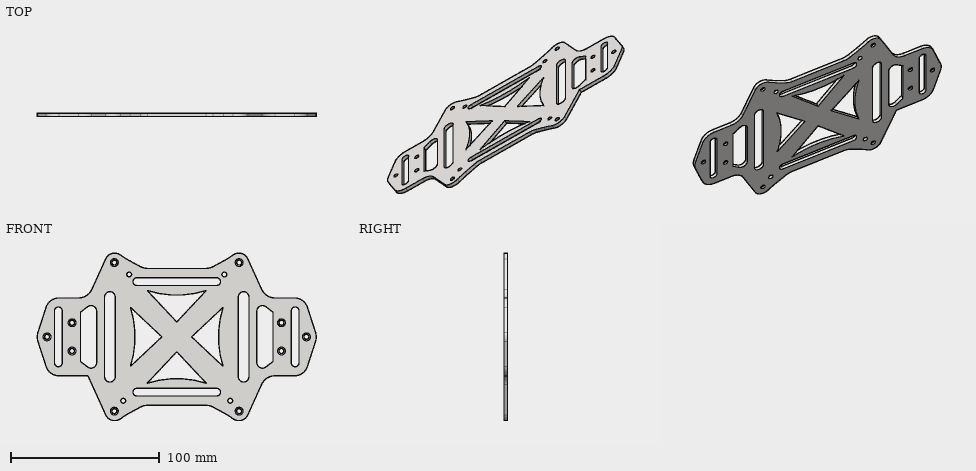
import cadquery as cq
import math

LENGTH = 187.98
HEIGHT = 112.92
THICKNESS = 2.5

TIP_X = 41.8
TIP_RADIUS = 6.7
TIP_Z = HEIGHT / 2 - TIP_RADIUS
FLARE_RADIUS = 58.0
FLARE_ANGLE = math.radians(36)
NOSE_RADIUS = 10.0
NOSE_X = LENGTH / 2 - NOSE_RADIUS
TAB_HALF_HEIGHT = 26.3
SHOULDER_X = 79.2
SHOULDER_RADIUS = 9.3
NECK_X = 66.0
NECK_RADIUS = 9.6
SHARP_NECK_X = 59.8
WAIST_X = 19.7
WAIST_HALF_HEIGHT = 46.15
WAIST_RADIUS = 10.0

MAIN_SLOT_X = 45.0
MAIN_SLOT_LENGTH = 60.7
MAIN_SLOT_WIDTH = 7.0
OUTER_SLOT_X = 79.7
OUTER_SLOT_LENGTH = 40.1
EDGE_SLOT_Z = 37.2
EDGE_SLOT_LENGTH = 58.8
NARROW_SLOT_WIDTH = 5.0
UPRIGHT = 90

WINDOW_INNER_X = 54.0
WINDOW_OUTER_X = 64.75
WINDOW_INNER_HALF_HEIGHT = 21.0
WINDOW_OUTER_HALF_HEIGHT = 16.55
WINDOW_RADIUS = 3.7

CUTOUT_APEX = 10.1
CUTOUT_ARC = 28.0
CUTOUT_FAR = 31.1
CUTOUT_HALF_WIDTH = 19.75
CUTOUT_COUNT = 4

SCREW_DIAMETER = 3.2
COUNTERSINK_DIAMETER = 5.3
COUNTERSINK_ANGLE = 90.0
NOSE_SCREW_X = 87.3
CORNER_SCREW_X = 42.0
CORNER_SCREW_Z = 50.0
PAIR_X = 70.5
PAIR_Z = 9.5
PLAIN_DIAMETER = 3.1
UPPER_PLAIN = (32.0, 42.0)
LOWER_PLAIN = (36.0, -43.0)

TOUCHING_GAP = 0.01
SIDES = (-1, 1)


def front_plane():
    """XZ sketch plane on the front face; a negative extrusion goes into the plate."""
    return cq.Workplane("XZ")


def through_plate(sketch):
    """Extrude a front-face outline over the full thickness."""
    return sketch.extrude(-THICKNESS)


def tangent_normal(first, second):
    """Outward unit normal of the tangent joining two (x, z, signed radius) circles, counter-clockwise."""
    dx = second[0] - first[0]
    dz = second[1] - first[1]
    length = math.hypot(dx, dz)
    along = min(1, (first[2] - second[2]) / length)
    across = math.sqrt(1 - along**2)
    return (
        (along * dx + across * dz) / length,
        (along * dz - across * dx) / length,
    )


def belt(circles):
    """Closed outline round circles taken counter-clockwise.

    A positive radius is a convex rounding, a negative one a concave rounding and zero a sharp corner.
    """
    normals = [tangent_normal(c, circles[(i + 1) % len(circles)]) for i, c in enumerate(circles)]
    outline = None
    previous_end = None
    for i, (x, z, radius) in enumerate(circles):
        before = normals[i - 1]
        after = normals[i]
        middle = (before[0] + after[0], before[1] + after[1])
        size = math.hypot(*middle)
        start, mid, end = [
            (x + radius * nx, z + radius * nz)
            for nx, nz in (before, (middle[0] / size, middle[1] / size), after)
        ]
        if outline is None:
            outline = front_plane().moveTo(*start)
        elif math.dist(previous_end, start) > TOUCHING_GAP:
            outline = outline.lineTo(*start)
        if radius:
            outline = outline.threePointArc(mid, end)
            previous_end = end
        else:
            previous_end = start
    return outline.close()


def plate():
    """Flat plate inside the outer outline."""
    reach = TIP_RADIUS + FLARE_RADIUS
    flare_x = TIP_X - reach * math.sin(FLARE_ANGLE)
    flare_z = TIP_Z + reach * math.cos(FLARE_ANGLE)
    upper_right = [
        (SHOULDER_X, TAB_HALF_HEIGHT - SHOULDER_RADIUS, SHOULDER_RADIUS),
        (NECK_X, TAB_HALF_HEIGHT + NECK_RADIUS, -NECK_RADIUS),
        (TIP_X, TIP_Z, TIP_RADIUS),
        (flare_x, flare_z, -FLARE_RADIUS),
        (WAIST_X, WAIST_HALF_HEIGHT + WAIST_RADIUS, -WAIST_RADIUS),
    ]
    upper_left = [(-x, z, r) for x, z, r in reversed(upper_right)]
    lower_left = [(x, -z, r) for x, z, r in reversed(upper_left)]
    lower_right = [(x, -z, r) for x, z, r in reversed(upper_right)]
    lower_left[1] = (-SHARP_NECK_X, -TAB_HALF_HEIGHT, 0)
    right_nose = [(NOSE_X, 0, NOSE_RADIUS)]
    left_nose = [(-NOSE_X, 0, NOSE_RADIUS)]
    return through_plate(belt(right_nose + upper_right + upper_left + left_nose + lower_left + lower_right))


def slots():
    """Two pairs of upright slots and one pair of level slots."""
    main = [(side * MAIN_SLOT_X, 0) for side in SIDES]
    outer = [(side * OUTER_SLOT_X, 0) for side in SIDES]
    edge = [(0, side * EDGE_SLOT_Z) for side in SIDES]
    main_slots = front_plane().pushPoints(main).slot2D(MAIN_SLOT_LENGTH, MAIN_SLOT_WIDTH, UPRIGHT)
    outer_slots = front_plane().pushPoints(outer).slot2D(OUTER_SLOT_LENGTH, NARROW_SLOT_WIDTH, UPRIGHT)
    edge_slots = front_plane().pushPoints(edge).slot2D(EDGE_SLOT_LENGTH, NARROW_SLOT_WIDTH)
    return [through_plate(sketch) for sketch in (main_slots, outer_slots, edge_slots)]


def tab_windows():
    """One rounded trapezoid in each end tab."""
    inner_x = WINDOW_INNER_X + WINDOW_RADIUS
    inner_z = WINDOW_INNER_HALF_HEIGHT - WINDOW_RADIUS
    right = through_plate(
        belt(
            [
                (inner_x, inner_z, WINDOW_RADIUS),
                (inner_x, -inner_z, WINDOW_RADIUS),
                (WINDOW_OUTER_X, -WINDOW_OUTER_HALF_HEIGHT, 0),
                (WINDOW_OUTER_X, WINDOW_OUTER_HALF_HEIGHT, 0),
            ]
        )
    )
    return [right, right.mirror("YZ")]


def central_cutouts():
    """Triangles pointing at the centre, with the far side bowed inwards."""
    outline = front_plane().moveTo(CUTOUT_APEX, 0).lineTo(CUTOUT_FAR, CUTOUT_HALF_WIDTH)
    outline = outline.threePointArc((CUTOUT_ARC, 0), (CUTOUT_FAR, -CUTOUT_HALF_WIDTH)).close()
    triangle = through_plate(outline)
    return [triangle.rotate((0, 0, 0), (0, 1, 0), i * 360 / CUTOUT_COUNT) for i in range(CUTOUT_COUNT)]


def drill_holes(body):
    """Screw holes countersunk from the front, and plain through holes."""
    screws = [(side * NOSE_SCREW_X, 0) for side in SIDES]
    screws += [(sx * CORNER_SCREW_X, sz * CORNER_SCREW_Z) for sx in SIDES for sz in SIDES]
    screws += [(sx * PAIR_X, sz * PAIR_Z) for sx in SIDES for sz in SIDES]
    plain = [(side * x, z) for side in SIDES for x, z in (UPPER_PLAIN, LOWER_PLAIN)]
    front_face = body.faces("<Y").workplane(origin=(0, 0, 0))
    body = front_face.pushPoints(screws).cskHole(SCREW_DIAMETER, COUNTERSINK_DIAMETER, COUNTERSINK_ANGLE)
    return body.cut(through_plate(front_plane().pushPoints(plain).circle(PLAIN_DIAMETER / 2)))


result = plate()
for opening in slots() + tab_windows() + central_cutouts():
    result = result.cut(opening)
result = drill_holes(result)